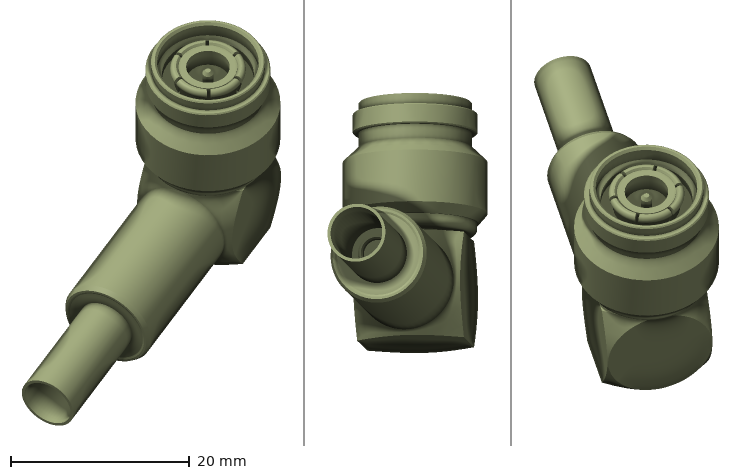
import cadquery as cq
import math


overall_length = 45.1
overall_height = 27.35
nut_diameter = 16.2
nut_radius = nut_diameter / 2

sleeve_radius = 5.45
block_width = 12.15
block_size = 12.0
block_half = block_size / 2
front_cone_radius = sleeve_radius
rear_cone_radius = block_half
cone_reach = 4.5

sleeve_end = -23.55
sleeve_chamfer_length = 0.55
sleeve_lip_radius = 5.15
sleeve_mouth_radius = 4.85
sleeve_recess_radius = 4.65
sleeve_recess_depth = 0.1
tube_radius = 3.3
tube_bore_radius = 2.95
tube_end = nut_radius - overall_length
ferrule_radius = 2.1
ferrule_bore_radius = 1.6
ferrule_length = 0.9
ferrule_chamfer = 0.2

nut_top = overall_height - block_half
nut_bottom = 6.25
neck_radius = 6.35
edge_chamfer = 0.15
neck_bottom = 16.25
grip_top = 14.55
grip_bottom = 8.7
rear_cone_bottom = 7.58
rear_cone_end_radius = 7.13
rear_rim_radius = 6.95
rear_rim_arc_radius = 0.7
collar_radius = 7.0
collar_top = 20.05
collar_bottom = 17.8
throat_top_radius = 4.7
throat_bottom_radius = 4.4

mouth_radius = 5.95
mouth_chamfer = 0.25
seat_cone_top = 19.5
seat_cone_bottom = 19.1
seat_radius = 5.15
cavity_floor = 18.15

finger_outer_radius = 4.25
finger_tip_radius = 3.8
finger_inner_radius = 3.3
finger_inner_chamfer = 0.25
finger_top = 20.55
finger_bulge_height = 0.55
finger_slot_width = 0.4
finger_slot_count = 6
insulator_top = 20.4
insulator_bore_radius = 2.45
pin_radius = 0.65
pin_tip_radius = 0.3
pin_shoulder = 19.4
pin_top = 19.8


def cylinder_z(radius, bottom, top):
    """Solid cylinder on the mating axis."""
    return cq.Workplane("XY").workplane(offset=bottom).circle(radius).extrude(top - bottom)


def revolve_z(profile):
    """Turn a closed (radius, z) profile about the mating axis."""
    return cq.Workplane("XZ").polyline(profile).close().revolve(360, (0, 0), (0, 1))


def revolve_y(profile):
    """Turn a closed (radius, y) profile about the cable axis."""
    return cq.Workplane("XY").polyline(profile).close().revolve(360, (0, 0), (0, 1))


def make_block():
    """Elbow block whose front and rear corners are turned to 45-degree cones."""
    block = cq.Workplane("XY").box(block_width, block_size, block_size)
    turned = revolve_y([
        (0, -block_half),
        (front_cone_radius, -block_half),
        (front_cone_radius + cone_reach, -block_half + cone_reach),
        (rear_cone_radius + cone_reach, block_half - cone_reach),
        (rear_cone_radius, block_half),
        (0, block_half),
    ])
    return block.intersect(turned)


def make_sleeve_and_tube():
    """Crimp sleeve with a dished end, the thin tube leaving it and a ferrule inside."""
    recess_floor = sleeve_end + sleeve_recess_depth
    ferrule_end = sleeve_end - ferrule_length
    return revolve_y([
        (0, -block_half),
        (sleeve_radius, -block_half),
        (sleeve_radius, sleeve_end + sleeve_chamfer_length),
        (sleeve_lip_radius, sleeve_end),
        (sleeve_mouth_radius, sleeve_end),
        (sleeve_recess_radius, recess_floor),
        (tube_radius, recess_floor),
        (tube_radius, tube_end),
        (tube_bore_radius, tube_end),
        (tube_bore_radius, sleeve_end),
        (ferrule_radius, sleeve_end),
        (ferrule_radius, ferrule_end + ferrule_chamfer),
        (ferrule_radius - ferrule_chamfer, ferrule_end),
        (ferrule_bore_radius + ferrule_chamfer, ferrule_end),
        (ferrule_bore_radius, ferrule_end + ferrule_chamfer),
        (ferrule_bore_radius, sleeve_end),
        (0, sleeve_end),
    ])


def make_nut():
    """Coupling nut with its grip, collar, rounded rear rim, stepped cavity and throat."""
    rim_arc_top = nut_bottom + rear_rim_arc_radius
    arc_inset = rear_rim_arc_radius * (1 - math.sqrt(0.5))
    shell = (
        cq.Workplane("XZ")
        .moveTo(0, nut_bottom)
        .lineTo(rear_rim_radius - rear_rim_arc_radius, nut_bottom)
        .threePointArc(
            (rear_rim_radius - arc_inset, nut_bottom + arc_inset),
            (rear_rim_radius, rim_arc_top),
        )
        .lineTo(rear_rim_radius, rear_cone_bottom)
        .lineTo(rear_cone_end_radius, rear_cone_bottom)
        .lineTo(nut_radius, grip_bottom)
        .lineTo(nut_radius, grip_top)
        .lineTo(neck_radius, neck_bottom)
        .lineTo(neck_radius, nut_top - edge_chamfer)
        .lineTo(neck_radius - edge_chamfer, nut_top)
        .lineTo(0, nut_top)
        .close()
        .revolve(360, (0, 0), (0, 1))
    )
    collar = cylinder_z(collar_radius, collar_bottom, collar_top).edges().chamfer(edge_chamfer)
    bore_radius = mouth_radius - mouth_chamfer
    cavity = revolve_z([
        (0, cavity_floor),
        (seat_radius, cavity_floor),
        (seat_radius, seat_cone_bottom),
        (bore_radius, seat_cone_top),
        (bore_radius, nut_top - mouth_chamfer),
        (mouth_radius, nut_top),
        (0, nut_top),
    ])
    throat = revolve_z([
        (0, block_half),
        (throat_bottom_radius, block_half),
        (throat_top_radius, nut_bottom),
        (0, nut_bottom),
    ])
    return shell.union(collar).cut(cavity).union(throat)


def make_fingers():
    """Ring of contact fingers with bulged, inside-chamfered tips, split by radial slots."""
    bulge_bottom = finger_top - 2 * finger_bulge_height
    ring = (
        cq.Workplane("XZ")
        .moveTo(finger_inner_radius, cavity_floor)
        .lineTo(finger_tip_radius, cavity_floor)
        .lineTo(finger_tip_radius, bulge_bottom)
        .threePointArc(
            (finger_outer_radius, finger_top - finger_bulge_height),
            (finger_tip_radius, finger_top),
        )
        .lineTo(finger_inner_radius + finger_inner_chamfer, finger_top)
        .lineTo(finger_inner_radius, finger_top - finger_inner_chamfer)
        .close()
        .revolve(360, (0, 0), (0, 1))
    )
    slot_height = finger_top - cavity_floor
    slot = cq.Workplane("XY").box(
        finger_outer_radius, finger_slot_width, slot_height, centered=(False, True, False)
    ).translate((finger_inner_radius / 2, 0, cavity_floor))
    for index in range(finger_slot_count):
        angle = index * 360 / finger_slot_count
        ring = ring.cut(slot.rotate((0, 0, 0), (0, 0, 1), angle))
    return ring


def make_insulator_and_pin():
    """Insulator cup and the tapered center pin standing in it."""
    insulator = cylinder_z(finger_inner_radius, cavity_floor, insulator_top)
    insulator = insulator.cut(cylinder_z(insulator_bore_radius, cavity_floor, insulator_top))
    pin = revolve_z([
        (0, cavity_floor),
        (pin_radius, cavity_floor),
        (pin_radius, pin_shoulder),
        (pin_tip_radius, pin_top),
        (0, pin_top),
    ])
    return insulator.union(pin)


result = (
    make_block()
    .union(make_sleeve_and_tube())
    .union(make_nut())
    .union(make_fingers())
    .union(make_insulator_and_pin())
)